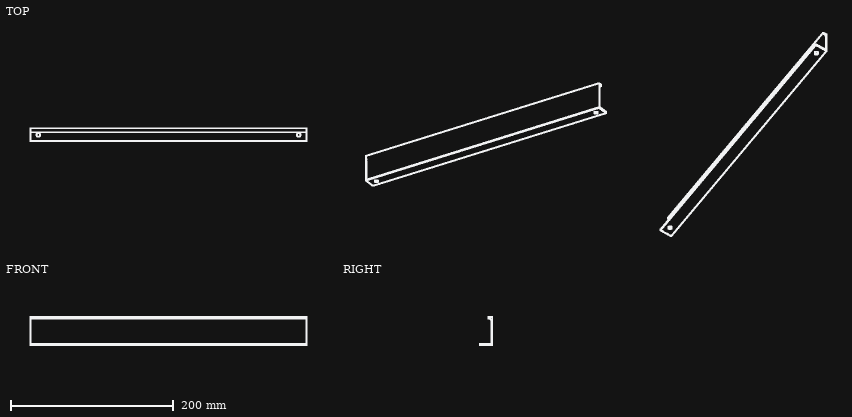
import cadquery as cq

length = 340.0
depth = 16.0
height = 35.0
web_thickness = 1.5
base_thickness = 2.0
lip_reach = 5.5
lip_thickness = 2.5
lip_fillet = 2.7
hole_diameter = 4.5
hole_end_distance = 10.0
hole_edge_distance = 7.5

web_front = depth - web_thickness
nose_radius = lip_thickness / 2
nose_center_y = depth - lip_reach + nose_radius
lip_bottom = height - lip_thickness


def rail():
    """Base flange, web and round-nosed lip as one extrusion along X."""
    profile = (
        cq.Workplane("YZ")
        .moveTo(0, 0)
        .lineTo(depth, 0)
        .lineTo(depth, height)
        .lineTo(nose_center_y, height)
        .threePointArc((depth - lip_reach, height - nose_radius), (nose_center_y, lip_bottom))
        .lineTo(web_front - lip_fillet, lip_bottom)
        .radiusArc((web_front, lip_bottom - lip_fillet), lip_fillet)
        .lineTo(web_front, base_thickness)
        .lineTo(0, base_thickness)
        .close()
    )
    return profile.extrude(length)


def mounting_holes():
    """Cutters for the two holes through the base flange, one near each end."""
    centers = [(x, hole_edge_distance) for x in (hole_end_distance, length - hole_end_distance)]
    return cq.Workplane("XY").pushPoints(centers).circle(hole_diameter / 2).extrude(base_thickness)


result = rail().cut(mounting_holes())